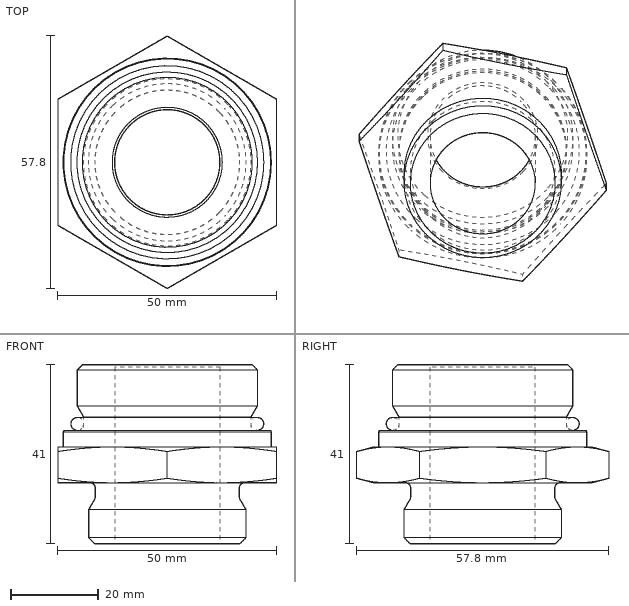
import cadquery as cq
import math

hex_corners = 57.75
hex_flats = hex_corners * math.cos(math.radians(30))
hex_bottom = 13.95
hex_top = 22.15
hex_chamfer_angle = 15.0

height = 41.0
bore_radius = 24.0 / 2
bore_chamfer = 0.6

lower_radius = 36.0 / 2
lower_chamfer = 1.45
lower_cylinder_top = 7.85
neck_radius = 33.0 / 2
neck_fillet = 1.15
cone_fillet = 1.25
cone_angle = math.radians(30)

collar_radius = 47.6 / 2
collar_top = 26.0
collar_chamfer_width = 0.2
collar_chamfer_height = 0.35

upper_radius = 41.3 / 2
upper_chamfer = 1.2
groove_radius = 38.3 / 2
upper_cylinder_bottom = 31.6
ring_section_radius = 2.95 / 2


def make_lower_spigot():
    """Chamfered cylinder, cone and neck, with arcs at both ends of the neck."""
    cone_corner = lower_cylinder_top + (lower_radius - neck_radius) / math.tan(cone_angle)
    tangent_length = cone_fillet * math.tan(cone_angle / 2)
    fillet_end = cone_corner + tangent_length
    fillet_start = cone_corner - tangent_length * math.cos(cone_angle)

    def cone_fillet_point(angle):
        return (
            neck_radius + cone_fillet * (1 - math.cos(angle)),
            fillet_end - cone_fillet * math.sin(angle),
        )

    diagonal_offset = neck_fillet * math.sin(math.radians(45))
    neck_arc_middle = (
        neck_radius + neck_fillet - diagonal_offset,
        hex_bottom - neck_fillet + diagonal_offset,
    )
    return (
        cq.Workplane("XZ")
        .lineTo(lower_radius - lower_chamfer, 0)
        .lineTo(lower_radius, lower_chamfer)
        .lineTo(lower_radius, lower_cylinder_top)
        .lineTo(cone_fillet_point(cone_angle)[0], fillet_start)
        .threePointArc(cone_fillet_point(cone_angle / 2), (neck_radius, fillet_end))
        .lineTo(neck_radius, hex_bottom - neck_fillet)
        .threePointArc(neck_arc_middle, (neck_radius + neck_fillet, hex_bottom))
        .lineTo(0, hex_bottom)
        .close()
        .revolve(360, (0, 0), (0, 1))
    )


def make_hexagon():
    """Hexagon with its corners cut back by shallow cones above and below."""
    prism = (
        cq.Workplane("XY", origin=(0, 0, hex_bottom))
        .polygon(6, hex_corners)
        .extrude(hex_top - hex_bottom)
        .rotate((0, 0, 0), (0, 0, 1), 30)
    )
    face_radius = hex_flats / 2
    corner_radius = hex_corners / 2
    drop = (corner_radius - face_radius) * math.tan(math.radians(hex_chamfer_angle))
    envelope = (
        cq.Workplane("XZ")
        .moveTo(0, hex_bottom)
        .lineTo(face_radius, hex_bottom)
        .lineTo(corner_radius, hex_bottom + drop)
        .lineTo(corner_radius, hex_top - drop)
        .lineTo(face_radius, hex_top)
        .lineTo(0, hex_top)
        .close()
        .revolve(360, (0, 0), (0, 1))
    )
    return prism.intersect(envelope)


def make_upper_spigot():
    """Collar, ring groove and chamfered cylinder above the hexagon."""
    cone_bottom = upper_cylinder_bottom - (upper_radius - groove_radius) / math.tan(cone_angle)
    return (
        cq.Workplane("XZ")
        .moveTo(0, hex_top)
        .lineTo(collar_radius, hex_top)
        .lineTo(collar_radius, collar_top - collar_chamfer_height)
        .lineTo(collar_radius - collar_chamfer_width, collar_top)
        .lineTo(groove_radius, collar_top)
        .lineTo(groove_radius, cone_bottom)
        .lineTo(upper_radius, upper_cylinder_bottom)
        .lineTo(upper_radius, height - upper_chamfer)
        .lineTo(upper_radius - upper_chamfer, height)
        .lineTo(0, height)
        .close()
        .revolve(360, (0, 0), (0, 1))
    )


def make_bore():
    """Through bore with a chamfered upper mouth."""
    return (
        cq.Workplane("XZ")
        .lineTo(bore_radius, 0)
        .lineTo(bore_radius, height - bore_chamfer)
        .lineTo(bore_radius + bore_chamfer, height)
        .lineTo(0, height)
        .close()
        .revolve(360, (0, 0), (0, 1))
    )


def make_fitting():
    outside = make_lower_spigot().union(make_hexagon()).union(make_upper_spigot())
    return outside.cut(make_bore()).solids()


def make_sealing_ring():
    """Round-section ring resting on the collar and around the groove floor."""
    ring = cq.Solid.makeTorus(
        groove_radius + ring_section_radius,
        ring_section_radius,
        cq.Vector(0, 0, collar_top + ring_section_radius),
        cq.Vector(0, 0, 1),
    )
    return cq.Workplane(ring)


fitting = make_fitting()
sealing_ring = make_sealing_ring()
result = cq.Compound.makeCompound([fitting.val(), sealing_ring.val()])